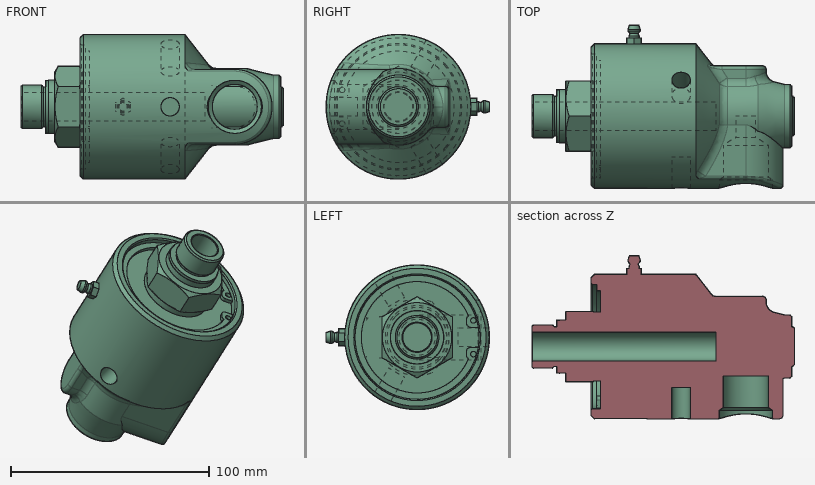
import cadquery as cq
import math

TOTAL_LENGTH = 132.5
TOTAL_WIDTH = 82.4

THREAD_DIA = 22.0
THREAD_END = 10.5
THREAD_CHAMFER = 0.8
UNDERCUT_DIA = 20.1
COLLAR_START = 12.5
COLLAR_STEP_X = 13.9
COLLAR_FRONT_DIA = 26.8
COLLAR_REAR_DIA = 27.0
HEX_START = 17.1
HEX_REAR_CHAMFER_X = 29.4
HEX_FLATS = 35.5
HEX_CHAMFER_DIA = 35.0
HEX_CHAMFER_ANGLE = 30.0
INLET_BORE_DIA = 14.5
INLET_BORE_DEPTH = 92.7
INLET_CHAMFER = 0.4

BODY_DIA = 73.0
BODY_START = 29.8
BODY_CHAMFER = 1.7
CONE_START = 82.6
CONE_ANGLE = 52.0
NECK_DIA = 38.7
NECK_END = 114.0
END_COLLAR_DIA = 32.0
END_COLLAR_CHAMFER = 0.9
TAPER_END = 127.3
END_FACE_X = 131.0
PLUG_DIA = 20.1
PLUG_CHAMFER = 0.9
BLEND_RADIUS = 5.3

RECESS_DIA = 62.5
RECESS_CHAMFER = 0.7
RECESS_DEPTH = 4.8
RING_INNER_DIA = 56.2
RING_THICKNESS = 1.9
RING_GAP_HALF = 5.0
LUG_OUTER_HALF = 11.1
LUG_INNER_RADIUS = 24.9
LUG_CORNER = 2.1
RING_HOLE_DIA = 2.8
RING_HOLE_RADIUS = 28.3
RING_HOLE_HALF_PITCH = 8.5

PORT_X = 107.8
BOSS_HALF_WIDTH = 18.8
BOSS_EDGE_FILLET = 1.7
BLIND_HALF_WIDTH = 10.3
BLIND_TOP_Y = 25.4
BLIND_EDGE_FILLET = 2.0
PORT_RIM_DIA = 27.8
PORT_DIA = 26.8
PORT_DEPTH = 4.2
PORT_CONE_DEPTH = 1.6
PORT_INNER_DIA = 22.6
CUT_CLEARANCE = 1.3
TUBE_DIA = 29.7
TUBE_FLATS = 20.4

VENT_DIA = 9.3
VENT_X = 75.2
VENT_DEPTH = 15.9
VENT_COUNT = 3

NIPPLE_X = 51.5
NIPPLE_TIP_Y = TOTAL_WIDTH - BODY_DIA / 2
NIPPLE_HEX_DIA = 8.6
NIPPLE_ROOT_DEPTH = 1.3
NIPPLE_HEX_TOP = 39.5
NIPPLE_SHANK_DIA = 5.3
NIPPLE_SHANK_TOP = 40.3
NIPPLE_NECK_DIA = 4.2
NIPPLE_NECK_Y = 41.6
NIPPLE_HEAD_DIA = 6.4
NIPPLE_HEAD_BOTTOM = 42.9
NIPPLE_HEAD_TOP = 43.7
NIPPLE_TIP_DIA = 4.8

EDGE_TOLERANCE = 0.4

BODY_RADIUS = BODY_DIA / 2
RECESS_FLOOR_X = BODY_START + RECESS_DEPTH
NECK_RADIUS = NECK_DIA / 2
NECK_START = CONE_START + (BODY_RADIUS - NECK_RADIUS) / math.tan(math.radians(CONE_ANGLE))
ARM_RIM_Y = -math.sqrt(BODY_RADIUS**2 - BOSS_HALF_WIDTH**2)
BLIND_FOOT_Y = math.sqrt(NECK_RADIUS**2 - BLIND_HALF_WIDTH**2)
HEX_CORNER_DIA = HEX_FLATS / math.cos(math.pi / 6)


def pick_edges(solid, test):
    """Workplane holding the edges of solid whose bounding box passes the test."""
    return solid.newObject([edge for edge in solid.edges().vals() if test(edge.BoundingBox())])


def near(value, target):
    return abs(value - target) < EDGE_TOLERANCE


def revolve_about_x(points):
    """Solid of revolution about X from (x, radius) points."""
    return cq.Workplane("XY").polyline(points).close().revolve(360, (0, 0, 0), (1, 0, 0))


def cylinder_x(diameter, start, end):
    return cq.Workplane("YZ", origin=(start, 0, 0)).circle(diameter / 2).extrude(end - start)


def housing_shell():
    """Turned housing: cylinder, shoulder cone, neck, end taper and plug."""
    return revolve_about_x([
        (BODY_START, 0),
        (BODY_START, BODY_RADIUS - BODY_CHAMFER),
        (BODY_START + BODY_CHAMFER, BODY_RADIUS),
        (CONE_START, BODY_RADIUS),
        (NECK_START, NECK_RADIUS),
        (NECK_END, NECK_RADIUS),
        (TAPER_END, END_COLLAR_DIA / 2),
        (END_FACE_X - END_COLLAR_CHAMFER, END_COLLAR_DIA / 2),
        (END_FACE_X, END_COLLAR_DIA / 2 - END_COLLAR_CHAMFER),
        (END_FACE_X, PLUG_DIA / 2),
        (TOTAL_LENGTH - PLUG_CHAMFER, PLUG_DIA / 2),
        (TOTAL_LENGTH, PLUG_DIA / 2 - PLUG_CHAMFER),
        (TOTAL_LENGTH, 0),
    ])


def boss(half_width, tip_y):
    """Round-ended arm from the axis to tip_y, with its round end at PORT_X."""
    direction = math.copysign(1, tip_y)
    block = (
        cq.Workplane("XY")
        .box(PORT_X - CONE_START, abs(tip_y), 2 * half_width, centered=(False, False, True))
        .translate((CONE_START, min(tip_y, 0), 0))
    )
    round_end = (
        cq.Workplane("XZ", origin=(PORT_X, 0, 0))
        .circle(half_width)
        .extrude(-direction * abs(tip_y))
    )
    return block.union(round_end)


def is_blend_edge(box):
    """Concave edges where the cone, the neck and the two bosses meet."""
    around_cone = near(box.xmax, NECK_START)
    below_blind_top = box.ymax < BLIND_TOP_Y - EDGE_TOLERANCE
    blind_foot = near(box.ymin, BLIND_FOOT_Y) and box.xmax < NECK_END + EDGE_TOLERANCE
    blind_end = box.ymin > BLIND_FOOT_Y and box.xmin > PORT_X
    return around_cone or (below_blind_top and (blind_foot or blind_end))


def is_blind_top_edge(box):
    return near(box.ymin, BLIND_TOP_Y) and near(box.ymax, BLIND_TOP_Y)


def is_arm_rim_edge(box):
    return near(box.ymax, ARM_RIM_Y) and box.xmax > PORT_X - EDGE_TOLERANCE


def housing():
    arm = boss(BOSS_HALF_WIDTH, -BODY_RADIUS)
    arm = arm.intersect(cylinder_x(BODY_DIA, CONE_START, TOTAL_LENGTH))
    arm = pick_edges(arm, is_arm_rim_edge).fillet(BOSS_EDGE_FILLET)
    solid = housing_shell().union(arm).union(boss(BLIND_HALF_WIDTH, BLIND_TOP_Y))
    solid = pick_edges(solid, is_blend_edge).fillet(BLEND_RADIUS)
    return pick_edges(solid, is_blind_top_edge).fillet(BLIND_EDGE_FILLET)


def port_cut():
    """Stepped port from -Y, ending on the flat-sided tube that runs along the axis."""
    rim = (PORT_RIM_DIA - PORT_DIA) / 2
    cone_start_y = -BODY_RADIUS + PORT_DEPTH
    profile = [
        (0, -BODY_RADIUS - CUT_CLEARANCE),
        (PORT_RIM_DIA / 2, -BODY_RADIUS - CUT_CLEARANCE),
        (PORT_RIM_DIA / 2, -BODY_RADIUS),
        (PORT_DIA / 2, -BODY_RADIUS + rim),
        (PORT_DIA / 2, cone_start_y),
        (PORT_INNER_DIA / 2, cone_start_y + PORT_CONE_DEPTH),
        (PORT_INNER_DIA / 2, 0),
        (0, 0),
    ]
    cut = cq.Workplane("XY").polyline(profile).close().revolve(360, (0, 0, 0), (0, 1, 0))
    slab = cq.Workplane("XY").box(2 * TOTAL_LENGTH, BODY_DIA, TUBE_FLATS)
    tube = cylinder_x(TUBE_DIA, CONE_START, TOTAL_LENGTH).intersect(slab)
    return cut.translate((PORT_X, 0, 0)).cut(tube)


def recess_cut():
    """Chamfered round recess in the inlet face."""
    radius = RECESS_DIA / 2
    return revolve_about_x([
        (BODY_START, 0),
        (BODY_START, radius + RECESS_CHAMFER),
        (BODY_START + RECESS_CHAMFER, radius),
        (RECESS_FLOOR_X, radius),
        (RECESS_FLOOR_X, 0),
    ])


def retaining_ring():
    """Open ring on the recess floor with two drilled lugs beside its gap on -Y."""
    start = RECESS_FLOOR_X - RING_THICKNESS
    outer = cylinder_x(RECESS_DIA, start, RECESS_FLOOR_X)
    ring = outer.cut(cylinder_x(RING_INNER_DIA, start, RECESS_FLOOR_X))
    lug_length = RECESS_DIA / 2 - LUG_INNER_RADIUS
    lug_centre = (LUG_OUTER_HALF + RING_GAP_HALF) / 2
    lugs = (
        cq.Workplane("YZ", origin=(start, 0, 0))
        .pushPoints([(-LUG_INNER_RADIUS - lug_length / 2, side * lug_centre) for side in (-1, 1)])
        .rect(lug_length, LUG_OUTER_HALF - RING_GAP_HALF)
        .extrude(RING_THICKNESS)
        .edges("|X and >Y")
        .fillet(LUG_CORNER)
    )
    gap = (
        cq.Workplane("YZ", origin=(start, -RECESS_DIA / 2, 0))
        .rect(2 * lug_length, 2 * RING_GAP_HALF)
        .extrude(RING_THICKNESS)
    )
    holes = (
        cq.Workplane("YZ", origin=(start, 0, 0))
        .pushPoints([(-RING_HOLE_RADIUS, side * RING_HOLE_HALF_PITCH) for side in (-1, 1)])
        .circle(RING_HOLE_DIA / 2)
        .extrude(RING_THICKNESS)
    )
    return ring.cut(gap).union(lugs.intersect(outer)).cut(holes)


def vent_cuts():
    """Radial blind holes spaced evenly about the axis, the first one on -Y."""
    hole = (
        cq.Workplane("XZ", origin=(VENT_X, -BODY_RADIUS + VENT_DEPTH, 0))
        .circle(VENT_DIA / 2)
        .extrude(VENT_DEPTH)
    )
    cuts = hole
    for index in range(1, VENT_COUNT):
        cuts = cuts.union(hole.rotate((0, 0, 0), (1, 0, 0), index * 360 / VENT_COUNT))
    return cuts


def rotor():
    """Threaded inlet stub, stepped collar and chamfered hexagon."""
    thread = THREAD_DIA / 2
    undercut = UNDERCUT_DIA / 2
    stub = revolve_about_x([
        (0, 0),
        (0, thread - THREAD_CHAMFER),
        (THREAD_CHAMFER, thread),
        (THREAD_END, thread),
        (THREAD_END + thread - undercut, undercut),
        (COLLAR_START, undercut),
        (COLLAR_START, COLLAR_FRONT_DIA / 2),
        (COLLAR_STEP_X, COLLAR_FRONT_DIA / 2),
        (COLLAR_STEP_X, COLLAR_REAR_DIA / 2),
        (HEX_START, COLLAR_REAR_DIA / 2),
        (HEX_START, 0),
    ])
    hexagon = (
        cq.Workplane("YZ", origin=(HEX_START, 0, 0))
        .transformed(rotate=(0, 0, 90))
        .polygon(6, HEX_CORNER_DIA)
        .extrude(RECESS_FLOOR_X - HEX_START)
    )
    corner = HEX_CORNER_DIA / 2
    base = HEX_CHAMFER_DIA / 2
    chamfer_length = (corner - base) * math.tan(math.radians(HEX_CHAMFER_ANGLE))
    envelope = revolve_about_x([
        (HEX_START, 0),
        (HEX_START, base),
        (HEX_START + chamfer_length, corner),
        (HEX_REAR_CHAMFER_X, corner),
        (HEX_REAR_CHAMFER_X + chamfer_length, base),
        (RECESS_FLOOR_X, base),
        (RECESS_FLOOR_X, 0),
    ])
    return stub.union(hexagon.intersect(envelope))


def inlet_bore():
    radius = INLET_BORE_DIA / 2
    return revolve_about_x([
        (0, 0),
        (0, radius + INLET_CHAMFER),
        (INLET_CHAMFER, radius),
        (INLET_BORE_DEPTH, radius),
        (INLET_BORE_DEPTH, 0),
    ])


def grease_nipple():
    """Hexagon base and turned button head standing on the +Y side."""
    root_y = BODY_RADIUS - NIPPLE_ROOT_DEPTH
    hexagon = (
        cq.Workplane("XZ", origin=(0, root_y, 0))
        .transformed(rotate=(0, 0, 90))
        .polygon(6, NIPPLE_HEX_DIA)
        .extrude(root_y - NIPPLE_HEX_TOP)
    )
    head = (
        cq.Workplane("XY")
        .polyline([
            (0, root_y),
            (NIPPLE_SHANK_DIA / 2, root_y),
            (NIPPLE_SHANK_DIA / 2, NIPPLE_SHANK_TOP),
            (NIPPLE_NECK_DIA / 2, NIPPLE_NECK_Y),
            (NIPPLE_HEAD_DIA / 2, NIPPLE_HEAD_BOTTOM),
            (NIPPLE_HEAD_DIA / 2, NIPPLE_HEAD_TOP),
            (NIPPLE_TIP_DIA / 2, NIPPLE_TIP_Y),
            (0, NIPPLE_TIP_Y),
        ])
        .close()
        .revolve(360, (0, 0, 0), (0, 1, 0))
    )
    return hexagon.union(head).translate((NIPPLE_X, 0, 0))


result = (
    housing()
    .cut(port_cut())
    .cut(vent_cuts())
    .cut(recess_cut())
    .union(retaining_ring())
    .union(rotor())
    .cut(inlet_bore())
    .union(grease_nipple())
)